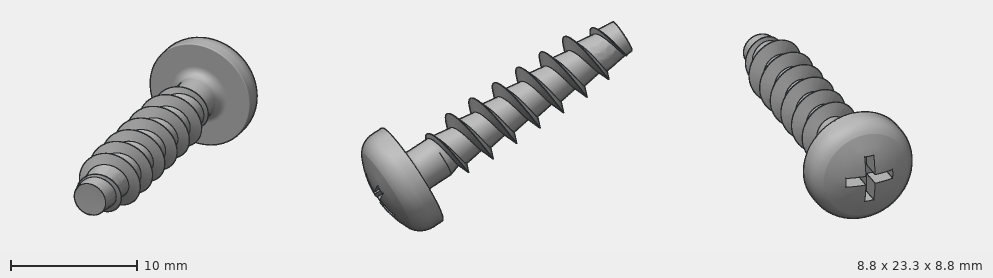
import cadquery as cq
import math


head_radius = 4.4
head_height = 3.37
rim_height = 0.93
rim_edge_radius = 0.08
dome_edge_radius = 3.6
dome_edge_height = 2.46
shoulder_radius = 1.84

recess_wing_width = 0.78
recess_span = 4.0
recess_depth = 1.8

screw_length = 20.0
shank_radius = 1.71
shank_length = 2.53
neck_fillet_radius = 0.72
core_radius = 1.36
core_taper_length = 1.1
tip_radius = 1.38
tip_taper = 0.1
dimple_radius = 1.26
dimple_depth = 0.06

pitch = 2.235
turns = 8
thread_start_y = -2.06
crest_radius = 2.5
start_crest_radius = 1.86
end_crest_radius = 1.3
run_in_turns = 1.08
run_out_turns = 1.5
crest_half_width = 0.02
flank_slope = 0.36
root_high_radius = 1.7
root_low_radius = 1.37
root_turn_gap = 0.02
buried_radius = 1.2
points_per_turn = 24


def crest_radius_at(turn):
    """Crest radius, ramped up at the start of the thread and down at its end."""
    run_in = start_crest_radius + (crest_radius - start_crest_radius) * turn / run_in_turns
    turns_left = turns - turn
    run_out = end_crest_radius + (crest_radius - end_crest_radius) * turns_left / run_out_turns
    return min(crest_radius, run_in, run_out)


def tooth_section(turn):
    """Corners of the tooth as (radius, axial offset toward the head)."""
    crest = crest_radius_at(turn)
    base_half_width = crest_half_width + flank_slope * (crest - buried_radius)
    return [
        (buried_radius, base_half_width),
        (crest, crest_half_width),
        (crest, -crest_half_width),
        (buried_radius, -base_half_width),
    ]


def root_section(_turn):
    """Corners of the tapering root that fills one pitch on the tip side of the tooth."""
    end_offset = root_turn_gap - pitch
    return [
        (buried_radius, 0),
        (root_high_radius, 0),
        (root_low_radius, end_offset),
        (buried_radius, end_offset),
    ]


def helix_point(turn, radius, offset):
    """Point on the right-handed helix, which starts on the -Z side of the axis."""
    angle = 2 * math.pi * turn
    y = thread_start_y - pitch * turn + offset
    return cq.Vector(radius * math.sin(angle), y, -radius * math.cos(angle))


def helical_solid(section_at, first_turn, last_turn):
    """Solid swept by a section around the screw axis, one ruled face per section side."""
    steps = round((last_turn - first_turn) * points_per_turn)
    stations = [first_turn + step / points_per_turn for step in range(steps + 1)]
    rings = [[helix_point(turn, *corner) for corner in section_at(turn)] for turn in stations]
    paths = [cq.Edge.makeSpline(list(path), parameters=stations) for path in zip(*rings)]
    sides = [
        cq.Face.makeRuledSurface(path, paths[(index + 1) % len(paths)])
        for index, path in enumerate(paths)
    ]
    caps = [
        cq.Face.makeFromWires(cq.Wire.makePolygon(ring, close=True))
        for ring in (rings[0], rings[-1])
    ]
    shell = cq.Shell.makeShell(sides + caps)
    return cq.Solid.makeSolid(shell).fix()


def revolved(outline):
    return outline.close().revolve(360, (0, 0, 0), (0, 1, 0))


def make_head():
    shoulder_center_radius = head_radius - shoulder_radius
    shoulder_angle = math.asin((dome_edge_height - rim_height) / shoulder_radius)
    shoulder_mid = (
        shoulder_center_radius + shoulder_radius * math.cos(shoulder_angle / 2),
        rim_height + shoulder_radius * math.sin(shoulder_angle / 2),
    )
    dome_rise = head_height - dome_edge_height
    dome_radius = (dome_edge_radius**2 + dome_rise**2) / (2 * dome_rise)
    dome_mid_radius = dome_edge_radius / 2
    dome_mid_drop = dome_radius - math.sqrt(dome_radius**2 - dome_mid_radius**2)
    outline = (
        cq.Workplane("XY")
        .lineTo(head_radius - rim_edge_radius, 0)
        .radiusArc((head_radius, rim_edge_radius), -rim_edge_radius)
        .lineTo(head_radius, rim_height)
        .threePointArc(shoulder_mid, (dome_edge_radius, dome_edge_height))
        .threePointArc((dome_mid_radius, head_height - dome_mid_drop), (0, head_height))
    )
    return revolved(outline)


def make_recess():
    wing_sizes = [(recess_span, recess_wing_width), (recess_wing_width, recess_span)]
    recess = cq.Workplane("XY")
    for size_x, size_z in wing_sizes:
        wing = cq.Workplane("XY").box(size_x, recess_depth, size_z)
        recess = recess.add(wing.translate((0, head_height - recess_depth / 2, 0)))
    return recess.combine()


def make_shank():
    outline = (
        cq.Workplane("XY")
        .lineTo(shank_radius + neck_fillet_radius, 0)
        .radiusArc((shank_radius, -neck_fillet_radius), -neck_fillet_radius)
        .lineTo(shank_radius, -shank_length)
        .lineTo(core_radius, -shank_length - core_taper_length)
        .lineTo(core_radius, -screw_length)
        .lineTo(0, -screw_length)
    )
    return revolved(outline)


def make_dimple():
    sphere_radius = (dimple_radius**2 + dimple_depth**2) / (2 * dimple_depth)
    sphere = cq.Workplane("XY").sphere(sphere_radius)
    return sphere.translate((0, -screw_length + dimple_depth - sphere_radius, 0))


def make_root():
    """Sawtooth root, trimmed to the conical tip."""
    taper_top_y = -screw_length + (shank_radius - tip_radius) / tip_taper
    tip_envelope = (
        cq.Workplane("XY")
        .lineTo(shank_radius, 0)
        .lineTo(shank_radius, taper_top_y)
        .lineTo(tip_radius, -screw_length)
        .lineTo(0, -screw_length)
    )
    root = cq.Workplane(helical_solid(root_section, 0, turns))
    return root.intersect(revolved(tip_envelope))


def make_teeth():
    """The thread, one solid per turn."""
    return [helical_solid(tooth_section, turn, turn + 1) for turn in range(turns)]


head = make_head().cut(make_recess())
shaft = make_shank().union(make_root()).val().fuse(*make_teeth())
result = head.union(cq.Workplane(shaft)).cut(make_dimple())